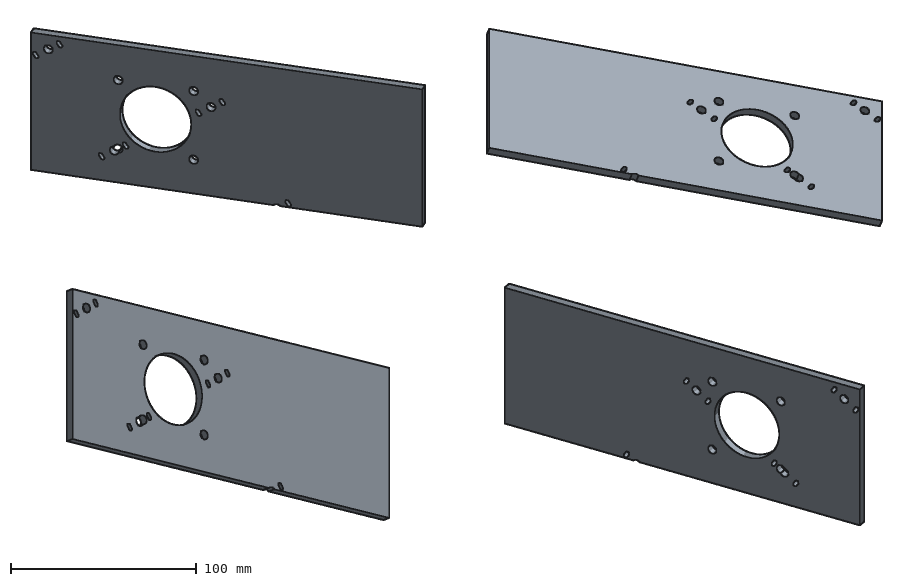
import cadquery as cq
import math

plate_length = 220.0
plate_thickness = 5.0
plate_height = 85.0

bore_x = -40.0
bore_z = 0.0
bore_diameter = 40.0

pattern_offset_x = 0.2
pattern_offset_z = -0.35
pattern_x = bore_x + pattern_offset_x
pattern_z = bore_z + pattern_offset_z
bolt_circle_diameter = 60.0
bolt_hole_diameter = 5.0
bolt_count = 4
bolt_start_angle = 45.0

grid_angle = 33.2
station_pitch_u = 65.0
station_pitch_v = 67.75
first_row_v = -6.2
station_hole_diameter = 5.0
station_hole_shift = 0.5
slot_spacing = 16.0
slot_length = 4.1
slot_width = 2.2

left_u = -station_pitch_u / 2
right_u = station_pitch_u / 2
stations = [
    (left_u, first_row_v),
    (left_u, first_row_v + station_pitch_v),
    (right_u, first_row_v),
    (right_u, first_row_v - station_pitch_v),
]


def grid_to_plate(u, v):
    """Turn a point of the tilted grid into plate X and Z."""
    angle = math.radians(grid_angle)
    x = pattern_x + u * math.cos(angle) - v * math.sin(angle)
    z = pattern_z + u * math.sin(angle) + v * math.cos(angle)
    return x, z


def plate_sketch():
    """Workplane on the mid-plane of the plate, with local axes along X and Z."""
    return cq.Workplane("XZ")


def through(sketch):
    """Cutter that spans the whole plate thickness."""
    return sketch.extrude(plate_thickness / 2, both=True)


def make_plate():
    return cq.Workplane("XY").box(plate_length, plate_thickness, plate_height)


def bore_cutter():
    return through(plate_sketch().center(bore_x, bore_z).circle(bore_diameter / 2))


def bolt_cutter():
    pattern = plate_sketch().center(pattern_x, pattern_z).polarArray(
        bolt_circle_diameter / 2, bolt_start_angle, 360, bolt_count
    )
    return through(pattern.circle(bolt_hole_diameter / 2))


def station_hole_cutter():
    centres = [grid_to_plate(u + station_hole_shift, v) for u, v in stations]
    return through(plate_sketch().pushPoints(centres).circle(station_hole_diameter / 2))


def station_slot_cutter():
    centres = []
    for u, v in stations:
        for side in (-1, 1):
            centres.append(grid_to_plate(u + side * slot_spacing / 2, v))
    slots = plate_sketch().pushPoints(centres)
    return through(slots.slot2D(slot_length, slot_width, grid_angle + 90))


result = (
    make_plate()
    .cut(bore_cutter())
    .cut(bolt_cutter())
    .cut(station_hole_cutter())
    .cut(station_slot_cutter())
)